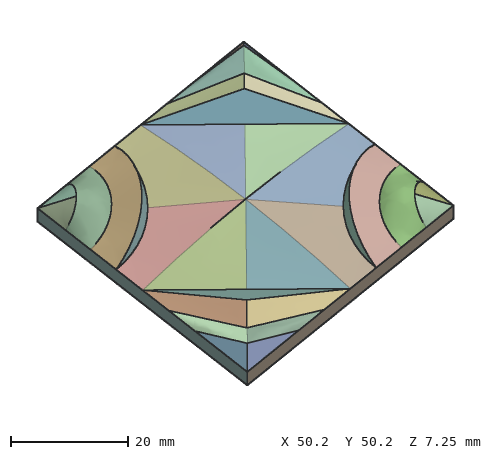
import cadquery as cq

side = 50.15
half = side / 2
total_height = 7.25
peak_rise = 3.5
base_top = total_height - peak_rise
centre_rise = 2.15
crown_mid_rise = 0.75 * centre_rise

outer_peak_inset = 2.45
inner_peak_inset = 9.05
valley_inset = (outer_peak_inset + inner_peak_inset) / 2
valley_rise = peak_rise / 2
outer_foot = side / 4
inner_foot = 3 * side / 8

tip_reach = 6.6
tip_rise = 3.3
bulge_radius = 9.55
bulge_rise = 3.1
trough_reach = 12.65
trough_rise = 1.1
dome_reach = 18.8
brow_radius = 17.8
brow_rise = 3.2
sine_45 = 0.5**0.5


def point(x, y, rise=0.0):
    """Point at a given rise above the base slab."""
    return cq.Vector(x, y, base_top + rise)


def line(start, end):
    return cq.Edge.makeLine(start, end)


def flat_face(*corners):
    return cq.Face.makeFromWires(cq.Wire.makePolygon(list(corners), close=True))


def patch(*edges, through=()):
    """Smooth face filling a closed loop of edges and passing through the given points."""
    return cq.Face.makeNSidedSurface(list(edges), list(through))


def mirror_diagonal(p):
    """Swap the two sides of the diagonal through the lower left corner."""
    return cq.Vector(p.y, p.x, p.z)


def mirror_antidiagonal(p):
    """Swap the two sides of the diagonal through the upper left corner."""
    return cq.Vector(-p.y, -p.x, p.z)


def same(p):
    """Leave a point where it is."""
    return p


centre = point(0, 0, centre_rise)


def crown_ridge(place, end):
    """Arched ridge from the centre to the middle of a border."""
    middle = point(end.x / 2, end.y / 2, crown_mid_rise)
    return cq.Edge.makeThreePointArc(centre, place(middle), place(end))


def faceted_corner():
    """Upper left quarter of the relief."""
    corner = point(-half, half)
    outer_peak = point(-half + outer_peak_inset, half - outer_peak_inset, peak_rise)
    valley = point(-half + valley_inset, half - valley_inset, valley_rise)
    inner_peak = point(-half + inner_peak_inset, half - inner_peak_inset, peak_rise)
    fold = point(-half / 2, half / 2)
    faces = [flat_face(inner_peak, point(0, half), fold, point(-half, 0))]
    for place in (same, mirror_antidiagonal):
        near = place(point(-half + outer_foot, half))
        far = place(point(-half + inner_foot, half))
        end = place(point(0, half))
        faces += [
            flat_face(corner, near, outer_peak),
            patch(line(outer_peak, near), line(near, far), line(far, valley), line(valley, outer_peak)),
            patch(line(valley, far), line(far, end), line(end, inner_peak), line(inner_peak, valley)),
            patch(crown_ridge(place, point(0, half)), line(end, fold), line(fold, centre)),
        ]
    return faces


def domed_corner():
    """Lower left quarter of the relief."""
    corner = point(-half, -half)

    def diagonal_point(radius, rise=0.0):
        offset = radius * sine_45
        return point(-half + offset, -half + offset, rise)

    def border_point(reach):
        return point(-half + reach, -half)

    def arch(reach, radius, rise):
        start = border_point(reach)
        return cq.Edge.makeThreePointArc(start, diagonal_point(radius, rise), mirror_diagonal(start))

    tip_top = diagonal_point(tip_reach, tip_rise)
    tip = arch(tip_reach, tip_reach, tip_rise)
    trough = arch(trough_reach, trough_reach, trough_rise)
    brow = arch(dome_reach, brow_radius, brow_rise)
    foot = arch(dome_reach, dome_reach, 0)
    foot_middle = diagonal_point(dome_reach)

    def band(inner, outer, through=()):
        """Smooth face between two arches, closed by straight pieces of border."""
        end = line(inner.endPoint(), outer.endPoint())
        start = line(outer.startPoint(), inner.startPoint())
        return patch(inner, end, outer, start, through=through)

    def half_arch(arc, place):
        """Half of an arch, from the border to the diagonal."""
        quarter = place(arc.positionAt(0.25))
        return cq.Edge.makeThreePointArc(place(arc.startPoint()), quarter, arc.positionAt(0.5))

    bulge = [diagonal_point(bulge_radius, bulge_rise)]
    faces = [band(tip, trough, bulge), band(trough, brow), cq.Face.makeRuledSurface(brow, foot)]
    for place in (same, mirror_diagonal):
        tip_end = place(border_point(tip_reach))
        foot_end = place(border_point(dome_reach))
        ridge_end = place(point(0, -half))
        faces += [
            patch(line(corner, tip_end), half_arch(tip, place), line(tip_top, corner)),
            patch(
                crown_ridge(place, point(0, -half)),
                line(ridge_end, foot_end),
                half_arch(foot, place),
                line(foot_middle, centre),
            ),
        ]
    return faces


def base_faces():
    """Bottom and four sides of the slab."""
    slab = cq.Workplane("XY").box(side, side, base_top, centered=(True, True, False))
    return slab.faces("not >Z").vals()


relief_half = faceted_corner() + domed_corner()
opposite_half = [face.rotate(cq.Vector(0, 0, 0), cq.Vector(0, 0, 1), 180) for face in relief_half]
sewing_tolerance = 0.01
skin = cq.Workplane("XY").newObject(base_faces() + relief_half + opposite_half)
shell = cq.occ_impl.shapes.shell(skin.vals(), tol=sewing_tolerance)
result = cq.Workplane("XY").newObject([cq.Solid.makeSolid(shell).fix()])